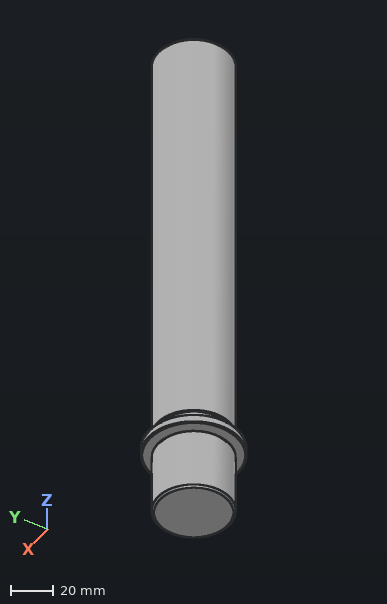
import cadquery as cq

total_length = 275.0
shaft_diameter = 40.0
collar_diameter = 50.0
neck_diameter = 37.5

collar_bottom = 35.0
collar_thickness = 5.0
neck_length = 6.5

tip_chamfer = 3.0
base_chamfer = 1.0
shoulder_chamfer = 1.5
collar_chamfer = 0.5

collar_top = collar_bottom + collar_thickness
shaft_bottom = collar_top + neck_length


def cylinder(diameter, bottom, top):
    """Solid cylinder on the Z axis between two heights."""
    return cq.Workplane("XY").workplane(offset=bottom).circle(diameter / 2).extrude(top - bottom)


base = cylinder(shaft_diameter, 0, collar_bottom)
base = base.faces("<Z").edges().chamfer(base_chamfer)
base = base.faces(">Z").edges().chamfer(shoulder_chamfer)

collar = cylinder(collar_diameter, collar_bottom, collar_top).edges().chamfer(collar_chamfer)

neck = cylinder(neck_diameter, collar_top, shaft_bottom)

shaft = cylinder(shaft_diameter, shaft_bottom, total_length).faces(">Z").edges().chamfer(tip_chamfer)

result = base.union(collar).union(neck).union(shaft)